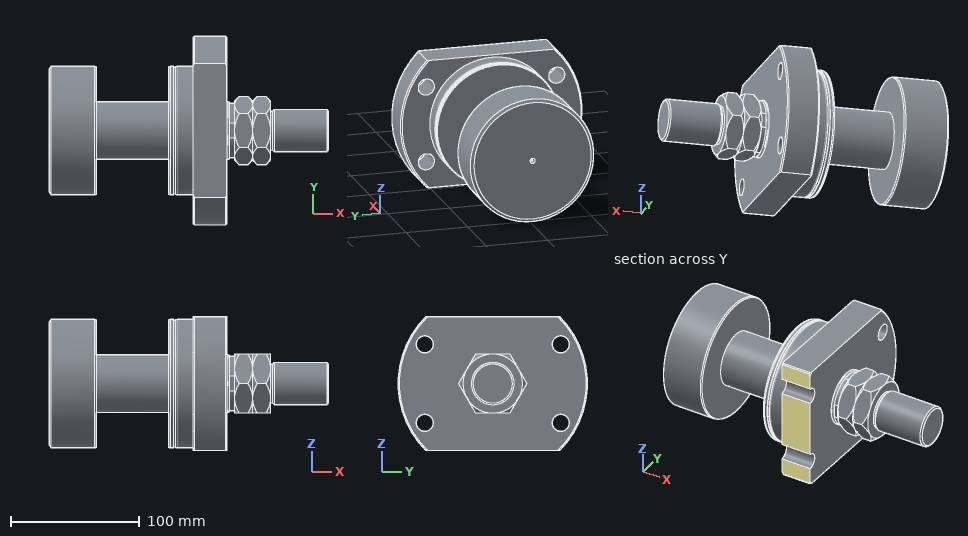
import cadquery as cq
import math


PISTON_END = 36.7
GLAND_START = 92.9
FLANGE_START = 112.0
FLANGE_END = 138.0
SHAFT_END = 140.2
NUTS_START = 144.0
NUTS_END = 172.0
STUD_START = 173.5
STUD_END = 217.0

PISTON_DIAMETER = 100.0
SHAFT_DIAMETER = 45.0
FLANGE_DIAMETER = 147.1
NECK_DIAMETER = 30.4
STUD_DIAMETER = 33.0

FACE_BEVEL_LENGTH = 1.5
FACE_BEVEL_DEPTH = 2.5
LEAD_BEVEL_LENGTH = 1.3
LEAD_BEVEL_DEPTH = 0.5
COLLAR_DIAMETER = SHAFT_DIAMETER - 2 * LEAD_BEVEL_DEPTH
FLANGE_CHAMFER = 1.0

GROOVE_START = 96.5
GROOVE_END = 98.3
GROOVE_DEPTH = 0.7
GROOVE_BEVEL_LENGTH = 1.3
GROOVE_BEVEL_DEPTH = 0.2

FLANGE_HEIGHT = 104.0
BOLT_CIRCLE_RADIUS = 61.0
BOLT_ANGLE = 30
BOLT_HOLE_DIAMETER = 13.0

COLLAR_ACROSS_FLATS = 42.5

CENTRE_MOUTH_DIAMETER = 4.1
CENTRE_PILOT_DIAMETER = 1.5
CENTRE_PILOT_DEPTH = 4.3

NUT_COUNT = 2
NUT_ACROSS_FLATS = 46.0
NUT_THICKNESS = (NUTS_END - NUTS_START) / NUT_COUNT


def revolve_about_x(profile):
    """Revolve (x, radius) points, closed along the X axis."""
    start = (profile[0][0], 0)
    end = (profile[-1][0], 0)
    return cq.Workplane("XY").polyline([start, *profile, end]).close().revolve(360, (0, 0), (1, 0))


def cylinder(diameter, start, end):
    return cq.Workplane("YZ", origin=(start, 0, 0)).circle(diameter / 2).extrude(end - start)


def make_piston():
    radius = PISTON_DIAMETER / 2
    return revolve_about_x([
        (0, radius - FACE_BEVEL_DEPTH),
        (FACE_BEVEL_LENGTH, radius),
        (PISTON_END - LEAD_BEVEL_LENGTH, radius),
        (PISTON_END, radius - LEAD_BEVEL_DEPTH),
    ])


def make_shaft():
    radius = SHAFT_DIAMETER / 2
    return revolve_about_x([
        (PISTON_END, radius),
        (SHAFT_END - LEAD_BEVEL_LENGTH, radius),
        (SHAFT_END, COLLAR_DIAMETER / 2),
    ])


def make_centre_drilling():
    mouth = CENTRE_MOUTH_DIAMETER / 2
    pilot = CENTRE_PILOT_DIAMETER / 2
    countersink_depth = (mouth - pilot) / math.tan(math.radians(30))
    return revolve_about_x([(0, mouth), (countersink_depth, pilot), (CENTRE_PILOT_DEPTH, pilot)])


def make_gland_boss():
    radius = PISTON_DIAMETER / 2
    groove_radius = radius - GROOVE_DEPTH
    return revolve_about_x([
        (GLAND_START, radius - LEAD_BEVEL_DEPTH),
        (GLAND_START + LEAD_BEVEL_LENGTH, radius),
        (GROOVE_START, radius),
        (GROOVE_START, groove_radius),
        (GROOVE_END, groove_radius),
        (GROOVE_END, radius - GROOVE_BEVEL_DEPTH),
        (GROOVE_END + GROOVE_BEVEL_LENGTH, radius),
        (FLANGE_START, radius),
    ])


def make_flange():
    disc = cylinder(FLANGE_DIAMETER, FLANGE_START, FLANGE_END).edges().chamfer(FLANGE_CHAMFER)
    length = FLANGE_END - FLANGE_START
    slab = cq.Workplane("YZ", origin=(FLANGE_START, 0, 0)).rect(FLANGE_DIAMETER, FLANGE_HEIGHT).extrude(length)
    bolt_y = BOLT_CIRCLE_RADIUS * math.cos(math.radians(BOLT_ANGLE))
    bolt_z = BOLT_CIRCLE_RADIUS * math.sin(math.radians(BOLT_ANGLE))
    holes = (
        cq.Workplane("YZ", origin=(FLANGE_START, 0, 0))
        .rect(2 * bolt_y, 2 * bolt_z, forConstruction=True)
        .vertices()
        .circle(BOLT_HOLE_DIAMETER / 2)
        .extrude(length)
    )
    return disc.intersect(slab).cut(holes)


def make_collar():
    collar = cylinder(COLLAR_DIAMETER, SHAFT_END, NUTS_START)
    flats = (
        cq.Workplane("YZ", origin=(SHAFT_END, 0, 0))
        .rect(COLLAR_ACROSS_FLATS, COLLAR_ACROSS_FLATS)
        .extrude(NUTS_START - SHAFT_END)
    )
    return collar.intersect(flats)


def make_stud():
    neck = cylinder(NECK_DIAMETER, NUTS_START, STUD_START)
    chamfer = (STUD_DIAMETER - NECK_DIAMETER) / 2
    return neck.union(cylinder(STUD_DIAMETER, STUD_START, STUD_END).edges().chamfer(chamfer))


def make_rod():
    """Piston, shaft, flanged gland, collar and stud as one body."""
    return (
        make_piston()
        .cut(make_centre_drilling())
        .union(make_shaft())
        .union(make_gland_boss())
        .union(make_flange())
        .union(make_collar())
        .union(make_stud())
    )


def make_nut(start):
    """Hexagonal jam nut with 45 degree chamfers on both faces, flats facing up and down."""
    across_corners = NUT_ACROSS_FLATS / math.cos(math.radians(30))
    chamfer = (across_corners - NUT_ACROSS_FLATS) / 2
    hexagon = cq.Workplane("YZ", origin=(start, 0, 0)).polygon(6, across_corners).extrude(NUT_THICKNESS)
    envelope = cylinder(across_corners, start, start + NUT_THICKNESS).edges().chamfer(chamfer)
    bore = cylinder(NECK_DIAMETER, start, start + NUT_THICKNESS)
    return hexagon.intersect(envelope).cut(bore)


rod = make_rod()
nuts = [make_nut(NUTS_START + i * NUT_THICKNESS) for i in range(NUT_COUNT)]

result = cq.Compound.makeCompound([rod.val(), *[nut.val() for nut in nuts]])